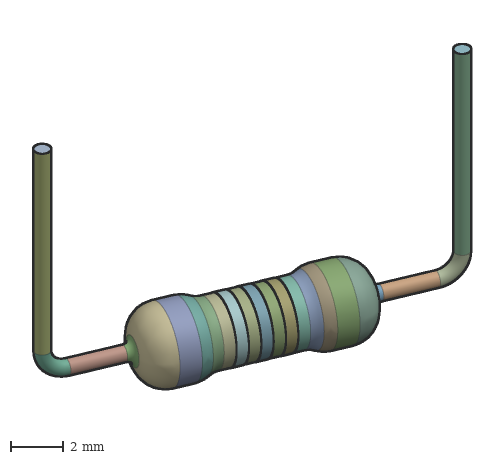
import cadquery as cq
import math

lead_diameter = 0.7
lead_pitch = 17.5
lead_top = 10.35
bend_radius = 1.5 * lead_diameter

body_length = 10.0
cap_diameter = 3.5
waist_diameter = 2.98
cap_round = 1.25
root_fillet = 0.35
shoulder_start = 1.8
shoulder_end = 2.82

band_diameter = 3.0
band_count = 3
band_width = 2 * shoulder_start / (2 * band_count + 1)
band_pitch = 2 * band_width

lead_radius = lead_diameter / 2
cap_radius = cap_diameter / 2
waist_radius = waist_diameter / 2


def make_half_body():
    """Half of the turned body on the +Y side, with its lead root fillet."""
    flare_length = shoulder_end - shoulder_start
    flare_rise = cap_radius - waist_radius
    flare_radius = (flare_length**2 + flare_rise**2) / (4 * flare_rise)
    flare_middle = ((waist_radius + cap_radius) / 2, (shoulder_start + shoulder_end) / 2)

    round_x = cap_radius - cap_round
    round_y = body_length / 2 - cap_round

    fillet_x = lead_radius + root_fillet
    centre_gap = cap_round + root_fillet
    fillet_y = round_y + math.sqrt(centre_gap**2 - (fillet_x - round_x)**2)
    fillet_share = cap_round / centre_gap
    touch_x = round_x + (fillet_x - round_x) * fillet_share
    touch_y = round_y + (fillet_y - round_y) * fillet_share

    profile = (
        cq.Workplane("XY")
        .lineTo(waist_radius, 0)
        .lineTo(waist_radius, shoulder_start)
        .radiusArc(flare_middle, flare_radius)
        .radiusArc((cap_radius, shoulder_end), -flare_radius)
        .lineTo(cap_radius, round_y)
        .radiusArc((touch_x, touch_y), -cap_round)
        .radiusArc((lead_radius, fillet_y), root_fillet)
        .lineTo(0, fillet_y)
        .close()
    )
    return profile.revolve(360, (0, 0, 0), (0, 1, 0))


def make_band(centre_y):
    """Disc that forms one colour band, centred at centre_y."""
    return (
        cq.Workplane("XZ", origin=(0, centre_y + band_width / 2, 0))
        .circle(band_diameter / 2)
        .extrude(band_width)
    )


def make_lead():
    """Wire on the +Y side: out of the body, round the bend and up to its tip."""
    lead_y = lead_pitch / 2
    bend_start = lead_y - bend_radius
    inner_end = body_length / 4
    path = (
        cq.Workplane("YZ")
        .moveTo(inner_end, 0)
        .lineTo(bend_start, 0)
        .radiusArc((lead_y, bend_radius), -bend_radius)
        .lineTo(lead_y, lead_top)
    )
    wire_section = cq.Workplane("XZ", origin=(0, inner_end, 0)).circle(lead_radius)
    return wire_section.sweep(path)


half = make_half_body().union(make_lead())
result = half.union(half.mirror("XZ"))
for index in range(band_count):
    band_y = (index - (band_count - 1) / 2) * band_pitch
    result = result.union(make_band(band_y))